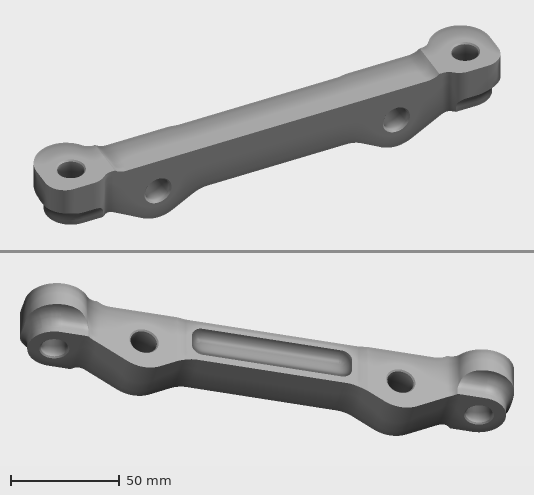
import cadquery as cq
import math

length = 232.0
height = 35.0
pad_hole_y = 101.0
lobe_y = 61.0
lobe_z = -19.5
hole_radius = 6.3
hole_chamfer = 0.7

pad_left = -20.0
pad_right = 14.2
pad_half_width = length / 2 - pad_hole_y
pad_corner_radius = 10.0
neck_radius = 5.5

pad_thickness = 12.5
boss_radius = 12.5
boss_bottom = -23.0
boss_blend = 7.7

bar_left = -11.1
bar_right = 10.0
bar_top = -2.0
bar_bottom = -25.0
step_outer_y = 83.0
step_inner_y = 77.3
lobe_slope = math.radians(30)
outer_bend_radius = 11.5
inner_bend_radius = 15.0

relief_depth = 0.7
relief_outer_y = 45.2
relief_inner_y = 41.0
pocket_length = 76.0
pocket_top = -6.0
pocket_bottom = -21.5
pocket_depth = 4.6
pocket_corner_radius = 5.0
pocket_floor_radius = 4.5


def make_plan():
    """Bar with both rounded pads, from above, through the full height."""
    pad_radius = pad_half_width
    pad_width = pad_right - pad_left
    plan = (
        cq.Workplane("XY")
        .center((bar_left + bar_right) / 2, 0)
        .rect(bar_right - bar_left, 2 * pad_hole_y)
        .extrude(-height)
    )
    for side in (-1, 1):
        hole_y = side * pad_hole_y
        pad = (
            cq.Workplane("XY")
            .center((pad_left + pad_right) / 2, hole_y)
            .rect(pad_width, 2 * pad_half_width)
            .extrude(-height)
            .edges("|Z and >X")
            .fillet(pad_corner_radius)
        )
        round_end = (
            cq.Workplane("XY").center(pad_left + pad_radius, hole_y).circle(pad_radius).extrude(-height)
        )
        square_side = (
            cq.Workplane("XY")
            .box(pad_width, length, height, centered=(False, True, False))
            .translate((pad_left + pad_radius, 0, -height))
        )
        plan = plan.union(pad.intersect(square_side).union(round_end))

    neck_box = cq.selectors.BoxSelector(
        (bar_left - neck_radius / 2, -pad_hole_y + neck_radius, -height),
        (bar_right + neck_radius / 2, pad_hole_y - neck_radius, 0),
    )
    return plan.edges("|Z").edges(neck_box).fillet(neck_radius)


def make_side_profile():
    """Side silhouette with stepped top and two hanging lobes."""
    lobe_radius = lobe_z + height
    tangent_y = lobe_radius * math.sin(lobe_slope)
    tangent_z = lobe_z - lobe_radius * math.cos(lobe_slope)
    outer_foot = lobe_y + tangent_y + (boss_bottom - tangent_z) / math.tan(lobe_slope)
    inner_foot = lobe_y - tangent_y - (bar_bottom - tangent_z) / math.tan(lobe_slope)

    def bend(foot_y, foot_z, radius, toward_lobe):
        """Start, middle and end of the concave bend, level end first."""
        reach = radius * math.tan(lobe_slope / 2)
        start_y = foot_y - toward_lobe * reach

        def point(angle):
            return (start_y + toward_lobe * radius * math.sin(angle),
                    foot_z - radius * (1 - math.cos(angle)))

        return point(0), point(lobe_slope / 2), point(lobe_slope)

    outer = bend(outer_foot, boss_bottom, outer_bend_radius, -1)
    inner = bend(inner_foot, bar_bottom, inner_bend_radius, 1)
    step_run = step_outer_y - step_inner_y
    step_radius = (step_run**2 + bar_top**2) / (2 * -bar_top)
    step_mid_y = step_inner_y + step_run / 2
    step_mid_z = bar_top + step_radius - math.sqrt(step_radius**2 - (step_run / 2) ** 2)

    half = (
        cq.Workplane("YZ")
        .moveTo(0, bar_top)
        .lineTo(step_inner_y, bar_top)
        .threePointArc((step_mid_y, step_mid_z), (step_outer_y, 0))
        .lineTo(length / 2, 0)
        .lineTo(length / 2, boss_bottom)
        .lineTo(*outer[0])
        .threePointArc(outer[1], outer[2])
        .lineTo(lobe_y + tangent_y, tangent_z)
        .threePointArc((lobe_y, -height), (lobe_y - tangent_y, tangent_z))
        .lineTo(*inner[2])
        .threePointArc(inner[1], inner[0])
        .lineTo(0, bar_bottom)
        .close()
        .extrude(length, both=True)
    )
    return half.union(half.mirror("XZ"))


def make_boss_undercut():
    """Cutter around the +Y boss: a half ring running straight on along both sides of the neck."""
    outer = boss_radius + 2 * boss_blend
    blend_end = boss_radius + boss_blend
    blend_z = -pad_thickness - boss_blend
    diagonal = boss_blend * math.sqrt(0.5)
    section = (
        cq.Workplane("XZ")
        .moveTo(boss_radius, -height)
        .lineTo(boss_radius, blend_z)
        .threePointArc((blend_end - diagonal, blend_z + diagonal), (blend_end, -pad_thickness))
        .lineTo(outer, -pad_thickness)
        .lineTo(outer, -height)
        .close()
    )
    straight = section.extrude(pad_hole_y - lobe_y)
    half_ring = section.wires().toPending().revolve(180, (0, 0, 0), (0, 1, 0))
    cutter = half_ring.union(straight).union(straight.mirror("YZ"))
    return cutter.translate((0, pad_hole_y, 0))


def make_hole(length_of_hole):
    """Hole tool along +Z from the origin, flared at both ends."""
    mouth_radius = hole_radius + hole_chamfer
    return (
        cq.Workplane("XZ")
        .lineTo(mouth_radius, 0)
        .lineTo(hole_radius, hole_chamfer)
        .lineTo(hole_radius, length_of_hole - hole_chamfer)
        .lineTo(mouth_radius, length_of_hole)
        .lineTo(0, length_of_hole)
        .close()
        .revolve(360, (0, 0, 0), (0, 1, 0))
    )


def make_relief():
    """Shallow cut with ramped ends in the middle of the -X face."""
    return (
        cq.Workplane("XY")
        .polyline([
            (bar_left, -relief_outer_y),
            (bar_left + relief_depth, -relief_inner_y),
            (bar_left + relief_depth, relief_inner_y),
            (bar_left, relief_outer_y),
        ])
        .close()
        .extrude(-height)
    )


def make_pocket():
    """Long pocket with rounded corners and a rounded floor edge."""
    return (
        cq.Workplane("YZ", origin=(bar_left + relief_depth, 0, (pocket_top + pocket_bottom) / 2))
        .rect(pocket_length, pocket_top - pocket_bottom)
        .extrude(pocket_depth)
        .edges("|X")
        .fillet(pocket_corner_radius)
        .faces(">X")
        .edges()
        .fillet(pocket_floor_radius)
    )


result = make_plan().intersect(make_side_profile())
result = result.cut(make_relief()).cut(make_pocket())

pad_hole = make_hole(-boss_bottom)
lobe_hole = make_hole(bar_right - bar_left).rotate((0, 0, 0), (0, 1, 0), 90)
undercut = make_boss_undercut()
result = result.cut(undercut).cut(undercut.mirror("XZ"))
for side in (-1, 1):
    result = result.cut(pad_hole.translate((0, side * pad_hole_y, boss_bottom)))
    result = result.cut(lobe_hole.translate((bar_left, side * lobe_y, lobe_z)))